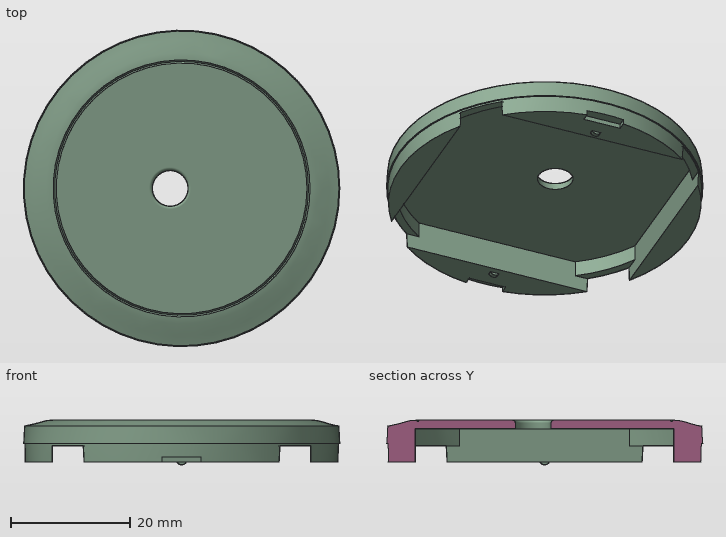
import cadquery as cq

total_height = 7.5
skirt_bottom = 0.5
gap_top = 3.2
widest_level = 3.55
band_top = 6.5
plate_thickness = 1.5

widest_radius = 26.5
skirt_bottom_radius = 26.2
skirt_top_radius = 26.3
band_top_radius = 26.35
crown_rim_slope = 0.1

groove_outer_radius = 21.5
groove_depth = 0.25

hole_x = -1.9
hole_radius = 2.95
hole_rim_fillet = 0.55

cavity_radius = 24.9
cavity_length_x = 43.25
cavity_width_y = 40.9

slot_width = 6.55
slot_height = 0.85
slot_depth = 1.6
pip_y = 21.85
pip_width = 1.6
pip_thickness = 0.7


def make_body():
    """Revolve the solid outline: tapered skirt and band, S-curved crown, grooved top."""
    groove_bottom_radius = groove_outer_radius - groove_depth
    groove_inner_radius = groove_bottom_radius - groove_depth
    return (
        cq.Workplane("XZ")
        .moveTo(0, skirt_bottom)
        .lineTo(skirt_bottom_radius, skirt_bottom)
        .lineTo(skirt_top_radius, widest_level)
        .lineTo(widest_radius, widest_level)
        .lineTo(band_top_radius, band_top)
        .spline(
            [(groove_outer_radius, total_height)],
            tangents=[(-1, crown_rim_slope), (-1, 0)],
            includeCurrent=True,
        )
        .lineTo(groove_bottom_radius, total_height - groove_depth)
        .lineTo(groove_inner_radius, total_height)
        .lineTo(0, total_height)
        .close()
        .revolve(360, (0, 0, 0), (0, 1, 0))
    )


def rectangle_block(bottom, top):
    """Rectangular block with the plan size of the cavity."""
    return (
        cq.Workplane("XY")
        .workplane(offset=bottom)
        .rect(cavity_length_x, cavity_width_y)
        .extrude(top - bottom)
    )


def make_cavity():
    """Hollow under the plate; below the ceiling of the openings it breaks out at the corners."""
    ceiling = total_height - plate_thickness
    round_hollow = (
        cq.Workplane("XY")
        .workplane(offset=skirt_bottom)
        .circle(cavity_radius)
        .extrude(ceiling - skirt_bottom)
    )
    upper_hollow = rectangle_block(skirt_bottom, ceiling).intersect(round_hollow)
    return upper_hollow.union(rectangle_block(skirt_bottom, gap_top))


def make_hole():
    """Round hole through the plate, flaring out at the top with a rounded rim."""
    rim_start = total_height - hole_rim_fillet
    return (
        cq.Workplane("XZ")
        .moveTo(0, skirt_bottom)
        .lineTo(hole_radius, skirt_bottom)
        .lineTo(hole_radius, rim_start)
        .radiusArc((hole_radius + hole_rim_fillet, total_height), hole_rim_fillet)
        .lineTo(0, total_height)
        .close()
        .revolve(360, (0, 0, 0), (0, 1, 0))
        .translate((hole_x, 0, 0))
    )


def make_slot(side):
    """Shallow slot in the outer bottom edge of one foot; side is -1 or 1 along Y."""
    slot_y = side * skirt_bottom_radius
    return (
        cq.Workplane("XY")
        .workplane(offset=skirt_bottom)
        .center(0, slot_y)
        .rect(slot_width, 2 * slot_depth)
        .extrude(slot_height)
    )


def make_pip(side):
    """Small rounded pip hanging below one foot; side is -1 or 1 along Y."""
    return (
        cq.Workplane("XZ", origin=(0, side * pip_y, 0))
        .moveTo(-pip_width / 2, skirt_bottom)
        .threePointArc((0, 0), (pip_width / 2, skirt_bottom))
        .close()
        .extrude(pip_thickness / 2, both=True)
    )


result = make_body().cut(make_cavity()).cut(make_hole())
for side in (-1, 1):
    result = result.cut(make_slot(side)).union(make_pip(side))
result = result.solids()